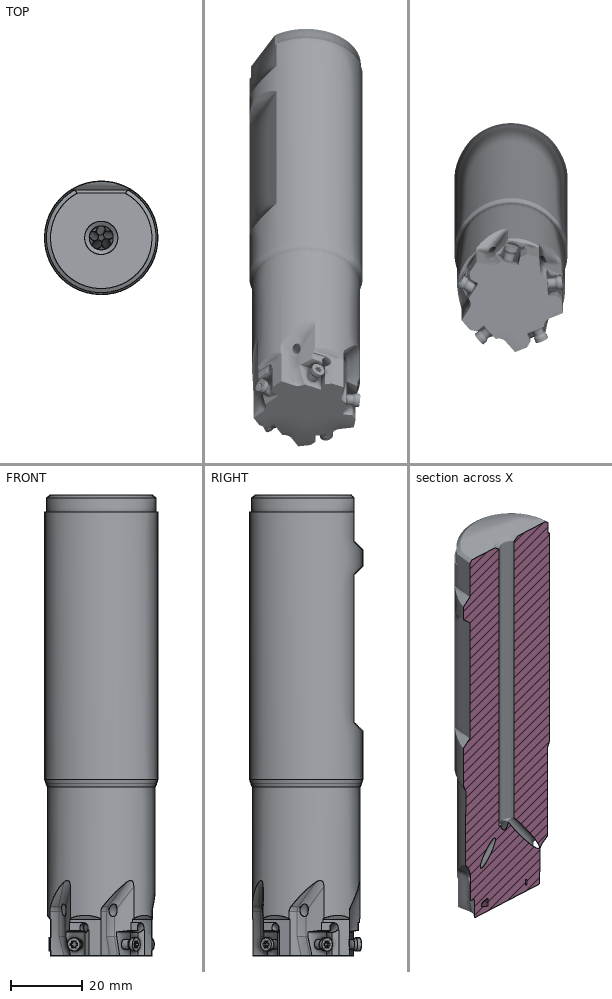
import cadquery as cq
import math

TOTAL_LENGTH = 129.0
STATIONS = 5
STATION_ANGLE = 360 / STATIONS

SHANK_RADIUS = 15.9
COLLAR_RADIUS = 15.3
COLLAR_BOTTOM = 124.2
TOP_CHAMFER_WIDTH = 1.2
TOP_CHAMFER_HEIGHT = 0.9
NECK_RADIUS = 15.1
NECK_TOP = 47.2
SHOULDER_RADIUS = 15.5
SHOULDER_BOTTOM = 48.2
SHANK_BOTTOM = 49.4

FLAT_Y = 13.4
FLAT_DEPTH = SHANK_RADIUS - FLAT_Y
LOWER_FLAT_BOTTOM = 65.3
LOWER_FLAT_TOP = 106.7
UPPER_FLAT_BOTTOM = 116.0

BORE_RADIUS = 3.4
BORE_MOUTH_RADIUS = 4.6
BORE_BOTTOM = 28.4
BRANCH_RADIUS = 1.2
BRANCH_EXIT_X = -9.9
BRANCH_EXIT_Y = 8.0
BRANCH_EXIT_Z = 12.4
BRANCH_TOP_X = -2.0
BRANCH_TOP_Y = 0.5

LAND_X = -14.2
LAND_TOP = 10.2
LAND_RAMP_TOP = 11.3
LAND_HALF_WIDTH = math.sqrt(NECK_RADIUS**2 - LAND_X**2)

SEAT_X = -10.5
SEAT_TOP = 6.7
SEAT_TOP_AT_LAND = 7.2
SEAT_WALL_Y = 0.5
SEAT_BEVEL_X = -13.0
SEAT_BEVEL_Y = -1.0
RELIEF_RADIUS = 1.3
RELIEF_Y = 0.5
RELIEF_Z = 7.9
LEDGE_X = -13.8
LEDGE_TOP = 9.3

FLUTE_FLOOR_X = -8.8
FLUTE_ROOT_Y = 8.1
FLUTE_WALL_Y = 4.4
FLUTE_WALL_X = -math.sqrt(NECK_RADIUS**2 - FLUTE_WALL_Y**2)
FLUTE_FILLET = 2.6
FLUTE_FLOOR_TOP = 13.2
FLUTE_TOP = 21.9
FLUTE_FLARE = 1.4
FLUTE_FLARE_HEIGHT = 5.4

SCREW_Y = 3.4
SCREW_Z = 3.2
HEAD_TOP_X = -14.6
HEAD_RADIUS = 3.7 / 2
HEAD_RIM = 1.2
HEAD_CONE = 0.8
THREAD_RADIUS = 1.4
THREAD_END_X = -5.8
SOCKET_RADIUS = 0.8
SOCKET_LOBE_RADIUS = 0.28
SOCKET_LOBES = 6
SOCKET_DEPTH = 1.0

CLEARANCE = 6.5


def at_stations(shape):
    """One copy of a shape for each station around Z."""
    return [shape.rotate((0, 0, 0), (0, 0, 1), i * STATION_ANGLE) for i in range(STATIONS)]


def x_cylinder(radius, x_outer, x_inner, y, z):
    """Cylinder parallel to X running inward from x_outer to x_inner."""
    return cq.Workplane("YZ", origin=(x_outer, y, z)).circle(radius).extrude(x_inner - x_outer)


def turned_blank():
    top_radius = COLLAR_RADIUS - TOP_CHAMFER_WIDTH
    return (
        cq.Workplane("XZ")
        .moveTo(0, 0)
        .lineTo(NECK_RADIUS, 0)
        .lineTo(NECK_RADIUS, NECK_TOP)
        .lineTo(SHOULDER_RADIUS, SHOULDER_BOTTOM)
        .lineTo(SHANK_RADIUS, SHANK_BOTTOM)
        .lineTo(SHANK_RADIUS, COLLAR_BOTTOM)
        .lineTo(COLLAR_RADIUS, COLLAR_BOTTOM)
        .lineTo(COLLAR_RADIUS, TOTAL_LENGTH - TOP_CHAMFER_HEIGHT)
        .lineTo(top_radius, TOTAL_LENGTH)
        .lineTo(0, TOTAL_LENGTH)
        .close()
        .revolve(360, (0, 0, 0), (0, 1, 0))
    )


def clamping_flats():
    """Two flats with 45 degree ends, leaving a boss between; the top edge keeps a chamfer."""
    bevelled_y = FLAT_Y - TOP_CHAMFER_HEIGHT
    lower = [
        (FLAT_Y, LOWER_FLAT_BOTTOM),
        (FLAT_Y, LOWER_FLAT_TOP),
        (SHANK_RADIUS, LOWER_FLAT_TOP + FLAT_DEPTH),
        (SHANK_RADIUS, LOWER_FLAT_BOTTOM - FLAT_DEPTH),
    ]
    upper = [
        (FLAT_Y, UPPER_FLAT_BOTTOM),
        (FLAT_Y, TOTAL_LENGTH - TOP_CHAMFER_HEIGHT),
        (bevelled_y, TOTAL_LENGTH),
        (SHANK_RADIUS, TOTAL_LENGTH),
        (SHANK_RADIUS, UPPER_FLAT_BOTTOM - FLAT_DEPTH),
    ]
    cuts = cq.Workplane("YZ").polyline(lower).close().extrude(SHANK_RADIUS, both=True)
    return cuts.union(cq.Workplane("YZ").polyline(upper).close().extrude(SHANK_RADIUS, both=True))


def coolant_bore():
    mouth_depth = BORE_MOUTH_RADIUS - BORE_RADIUS
    return (
        cq.Workplane("XZ")
        .moveTo(0, BORE_BOTTOM)
        .lineTo(BORE_RADIUS, BORE_BOTTOM)
        .lineTo(BORE_RADIUS, TOTAL_LENGTH - mouth_depth)
        .lineTo(BORE_MOUTH_RADIUS, TOTAL_LENGTH)
        .lineTo(0, TOTAL_LENGTH)
        .close()
        .revolve(360, (0, 0, 0), (0, 1, 0))
    )


def coolant_branch():
    """Hole sloping up from the flute root to the bottom of the bore, lengthened at both ends."""
    flute_end = cq.Vector(BRANCH_EXIT_X, BRANCH_EXIT_Y, BRANCH_EXIT_Z)
    bore_end = cq.Vector(BRANCH_TOP_X, BRANCH_TOP_Y, BORE_BOTTOM)
    direction = (bore_end - flute_end).normalized()
    overrun = direction * BRANCH_RADIUS
    start = flute_end - overrun
    length = (bore_end + overrun - start).Length
    return cq.Workplane(cq.Solid.makeCylinder(BRANCH_RADIUS, length, start, direction))


def land_cut():
    """Flat on the neck with an inclined run-out at its top."""
    outer_x = -NECK_RADIUS
    outline = [(LAND_X, 0), (LAND_X, LAND_TOP), (outer_x, LAND_RAMP_TOP), (outer_x, 0)]
    return cq.Workplane("XZ").polyline(outline).close().extrude(LAND_HALF_WIDTH, both=True)


def flute_cut():
    """Chip flute: floor, rounded root and leaning wall, with a ramped run-out and a flared end."""
    lean = (FLUTE_WALL_X - FLUTE_FLOOR_X) / (FLUTE_WALL_Y - FLUTE_ROOT_Y)
    outer_x = -SHANK_RADIUS
    outer_y = FLUTE_ROOT_Y + (outer_x - FLUTE_FLOOR_X) / lean
    section = (
        cq.Workplane("XY")
        .moveTo(FLUTE_FLOOR_X, FLUTE_ROOT_Y)
        .lineTo(outer_x, outer_y)
        .lineTo(outer_x, SHANK_RADIUS)
        .lineTo(FLUTE_FLOOR_X, SHANK_RADIUS)
        .close()
        .extrude(FLUTE_TOP + CLEARANCE)
    )
    ramp_slope = (FLUTE_TOP - FLUTE_FLOOR_TOP) / (FLUTE_FLOOR_X - FLUTE_WALL_X)
    ramp_end_z = FLUTE_FLOOR_TOP + ramp_slope * (FLUTE_FLOOR_X - outer_x)
    ramp = (
        cq.Workplane("XZ")
        .moveTo(FLUTE_FLOOR_X, 0)
        .lineTo(FLUTE_FLOOR_X, FLUTE_FLOOR_TOP)
        .lineTo(outer_x, ramp_end_z)
        .lineTo(outer_x, 0)
        .close()
        .extrude(SHANK_RADIUS, both=True)
    )
    floor_wall_middle = (FLUTE_FLOOR_X, FLUTE_ROOT_Y, FLUTE_FLOOR_TOP / 2)
    floor_ramp_middle = (FLUTE_FLOOR_X, (FLUTE_ROOT_Y + SHANK_RADIUS) / 2, FLUTE_FLOOR_TOP)
    wall_ramp_middle = (
        (FLUTE_FLOOR_X + outer_x) / 2,
        (FLUTE_ROOT_Y + outer_y) / 2,
        (FLUTE_FLOOR_TOP + ramp_end_z) / 2,
    )
    flute = section.intersect(ramp)
    nearest = cq.selectors.NearestToPointSelector
    inner_edges = flute.edges(nearest(floor_wall_middle))
    for middle in (floor_ramp_middle, wall_ramp_middle):
        inner_edges = inner_edges.add(flute.edges(nearest(middle)))
    flute = inner_edges.fillet(FLUTE_FILLET)
    end_outline = flute.faces("<Z").wires().val().translate(cq.Vector(0, -FLUTE_FLARE, 0))
    flare = cq.Solid.extrudeLinear(
        end_outline, [], cq.Vector(0, FLUTE_FLARE, FLUTE_FLARE_HEIGHT)
    )
    return flute.union(cq.Workplane(flare))


def seat_cut():
    """Insert seat open to the flute: bevelled side wall, leaning top wall, ledge and round relief."""
    outer_x = -SHANK_RADIUS
    open_y = FLUTE_ROOT_Y
    top_slope = (SEAT_TOP_AT_LAND - SEAT_TOP) / (SEAT_X - LAND_X)
    top_z = SEAT_TOP + top_slope * (SEAT_X - outer_x)
    plan = [
        (SEAT_X, SEAT_WALL_Y),
        (SEAT_BEVEL_X, SEAT_WALL_Y),
        (LAND_X, SEAT_BEVEL_Y),
        (outer_x, SEAT_BEVEL_Y),
        (outer_x, open_y),
        (SEAT_X, open_y),
    ]
    side = [(SEAT_X, 0), (SEAT_X, SEAT_TOP), (outer_x, top_z), (outer_x, 0)]
    seat = cq.Workplane("XY").polyline(plan).close().extrude(top_z)
    seat = seat.intersect(
        cq.Workplane("XZ").polyline(side).close().extrude(SHANK_RADIUS, both=True)
    )
    ledge = cq.Workplane("XY").box(LEDGE_X - outer_x, open_y - RELIEF_Y, LEDGE_TOP, centered=False)
    seat = seat.union(ledge.translate((outer_x, RELIEF_Y, 0)))
    return seat.union(x_cylinder(RELIEF_RADIUS, outer_x, SEAT_X, RELIEF_Y, RELIEF_Z))


def cutter_body():
    body = turned_blank().cut(clamping_flats()).cut(coolant_bore())
    tapped_hole = x_cylinder(THREAD_RADIUS, SEAT_X, THREAD_END_X, SCREW_Y, SCREW_Z)
    for cut in (land_cut(), flute_cut(), seat_cut(), tapped_hole, coolant_branch()):
        for copy in at_stations(cut):
            body = body.cut(copy)
    return body


def clamping_screw():
    """Screw along X with a conical head and a six-lobed socket."""
    rim_x = HEAD_TOP_X + HEAD_RIM
    cone_x = rim_x + HEAD_CONE
    screw = (
        cq.Workplane("XY")
        .polyline([
            (HEAD_TOP_X, 0),
            (HEAD_TOP_X, HEAD_RADIUS),
            (rim_x, HEAD_RADIUS),
            (cone_x, THREAD_RADIUS),
            (THREAD_END_X, THREAD_RADIUS),
            (THREAD_END_X, 0),
        ])
        .close()
        .revolve(360, (0, 0, 0), (1, 0, 0))
    )
    socket = (
        cq.Workplane("YZ", origin=(HEAD_TOP_X, 0, 0))
        .circle(SOCKET_RADIUS)
        .extrude(SOCKET_DEPTH)
    )
    lobes = (
        cq.Workplane("YZ", origin=(HEAD_TOP_X, 0, 0))
        .polarArray(SOCKET_RADIUS, 0, 360, SOCKET_LOBES)
        .circle(SOCKET_LOBE_RADIUS)
        .extrude(SOCKET_DEPTH)
    )
    return screw.cut(socket).cut(lobes).translate((0, SCREW_Y, SCREW_Z))


body = cutter_body()
screws = at_stations(clamping_screw())

result = cq.Compound.makeCompound([body.val(), *[screw.val() for screw in screws]])